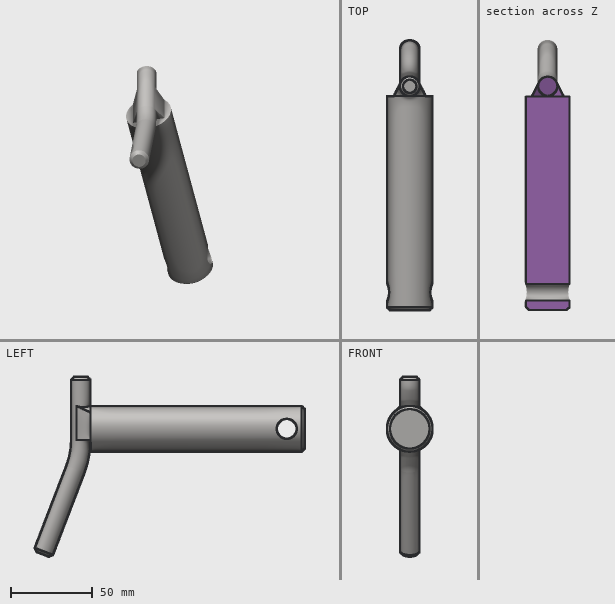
import cadquery as cq
import math

pin_diameter = 28.0
pin_length = 131.0
edge_chamfer = 2.0
cross_hole_diameter = 12.0
cross_hole_from_front = 11.0

rod_diameter = 12.0
rod_radius = rod_diameter / 2
rod_axis_y = pin_length + rod_radius
rod_top_z = 31.9
bend_start_z = -7.0
bend_radius = 49.5
bend_angle = 21.0
leg_length = 55.8

weld_angle = 27.0


def make_pin():
    pin = (
        cq.Workplane("XZ")
        .circle(pin_diameter / 2)
        .extrude(-pin_length)
        .faces("<Y")
        .chamfer(edge_chamfer)
    )
    cross_hole = (
        cq.Workplane("YZ")
        .center(cross_hole_from_front, 0)
        .circle(cross_hole_diameter / 2)
        .extrude(pin_diameter, both=True)
    )
    return pin.cut(cross_hole)


def bend_point(angle):
    """Point (Y, Z) on the rod's centre line after turning by the angle, in radians."""
    return (
        rod_axis_y + bend_radius * (1 - math.cos(angle)),
        bend_start_z - bend_radius * math.sin(angle),
    )


def make_handle():
    turn = math.radians(bend_angle)
    bend_end_y, bend_end_z = bend_point(turn)
    leg_end = (
        bend_end_y + leg_length * math.sin(turn),
        bend_end_z - leg_length * math.cos(turn),
    )
    centre_line = (
        cq.Workplane("YZ")
        .moveTo(rod_axis_y, rod_top_z)
        .lineTo(rod_axis_y, bend_start_z)
        .threePointArc(bend_point(turn / 2), (bend_end_y, bend_end_z))
        .lineTo(*leg_end)
    )
    rod = (
        cq.Workplane("XY", origin=(0, rod_axis_y, rod_top_z))
        .circle(rod_radius)
        .sweep(centre_line)
    )
    leg_direction = cq.Vector(0, math.sin(turn), -math.cos(turn))
    rod = rod.faces(cq.selectors.DirectionMinMaxSelector(leg_direction)).chamfer(edge_chamfer)
    return rod.faces(">Z").chamfer(edge_chamfer)


def taper_to_point(base, apex):
    """Solid with straight sides running from a closed base wire to the apex."""
    return cq.occ_impl.shapes.loft(base, cq.Vertex.makeVertex(*apex), cap=True, ruled=True)


def make_weld(side):
    """Bead on the +X (side = 1) or -X (side = -1) flank of the rod."""
    lean = math.radians(weld_angle)
    pin_radius = pin_diameter / 2

    tangent_x = rod_radius * math.cos(lean)
    tangent_y = rod_axis_y + rod_radius * math.sin(lean)
    toe_x = tangent_x + (tangent_y - pin_length) * math.tan(lean)
    toe_angle = math.acos(toe_x / pin_radius)
    toe_z = pin_radius * math.sin(toe_angle)
    arc_middle_angle = (toe_angle + math.pi / 2) / 2
    arc_middle = (
        side * pin_radius * math.cos(arc_middle_angle),
        pin_radius * math.sin(arc_middle_angle),
    )
    tip = (side * tangent_x, tangent_y, pin_radius)

    pin_face_outline = (
        cq.Workplane("XZ", origin=(0, pin_length, 0))
        .moveTo(0, bend_start_z)
        .lineTo(side * toe_x, bend_start_z)
        .lineTo(side * toe_x, toe_z)
        .threePointArc(arc_middle, (0, pin_radius))
        .close()
    )
    bottom_outline = (
        cq.Workplane("XY", origin=(0, 0, bend_start_z))
        .moveTo(0, pin_length)
        .lineTo(side * toe_x, pin_length)
        .lineTo(side * tangent_x, tangent_y)
        .close()
    )
    upper = taper_to_point(pin_face_outline.val(), tip)
    lower = taper_to_point(bottom_outline.val(), tip)
    rod_space = (
        cq.Workplane("XY", origin=(0, rod_axis_y, bend_start_z))
        .circle(rod_radius)
        .extrude(rod_top_z - bend_start_z)
    )
    return cq.Workplane(upper).union(cq.Workplane(lower)).cut(rod_space)


pin = make_pin()
handle = make_handle()
welds = [make_weld(side) for side in (-1, 1)]

result = cq.Compound.makeCompound([pin.val(), handle.val(), *[weld.solids().val() for weld in welds]])